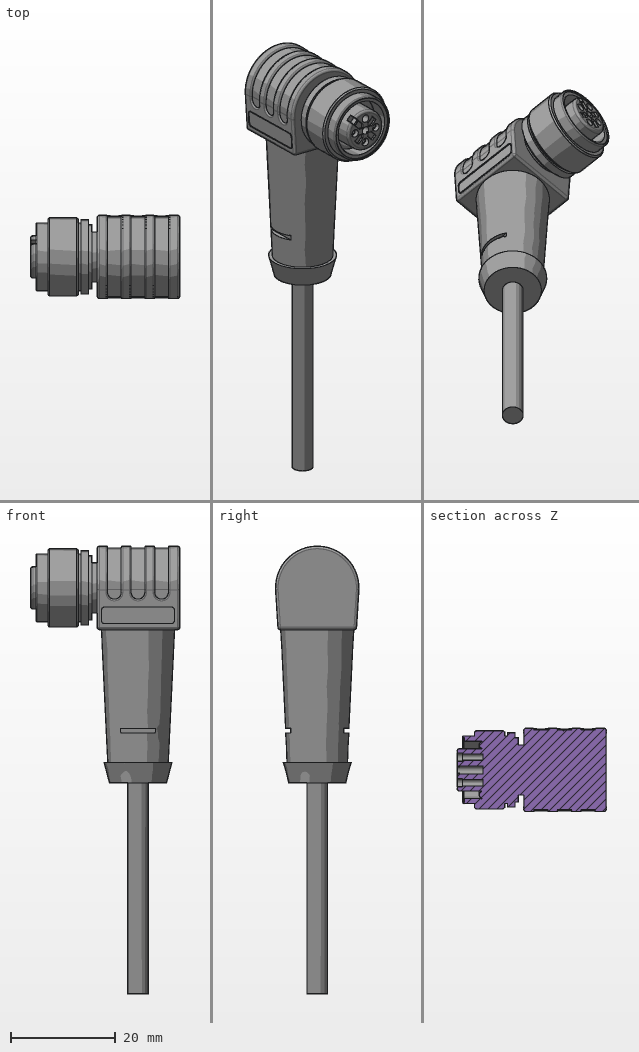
import cadquery as cq
import math


total_length = 28.5
total_height = 85.47
housing_radius = 7.985

sleeve_start = 1.05
nut_start = 3.3
nut_end = 9.1
ring_start = 9.6
ring_end = 11.1
collar_end = 11.7
housing_start = 12.7
sleeve_diameter = 13.0
nut_diameter = 15.0
nut_groove_diameter = 13.0
ring_diameter = 14.25
collar_diameter = 12.3
neck_diameter = 9.6
sleeve_fillet = 0.25
nut_chamfer = 0.3

bore_diameter = 10.92
bore_mouth_diameter = 12.3
bore_mouth_depth = 0.3
bore_floor = 4.9
insert_diameter = 8.14
insert_fillet = 0.5

contact_circle_radius = 2.45
contact_diameter = 1.15
contact_mouth_diameter = 1.5
contact_depth = 5.0
contact_mouth_depth = 1.0
pocket_width = 1.15
pocket_reach = 2.9
pocket_depth = 0.45
cross_width = 1.2
key_radius = 3.6
key_width = 1.2
key_depth = 1.5
diagonal_angle = 45

housing_length = total_length - housing_start
cable_axis = 20.5
housing_bottom = -8.0
split_height = -0.36
bottom_half_width = 7.5
housing_fillet = 0.5
groove_count = 3
groove_pitch = 4.5
groove_width = 2.6
groove_depth = 0.34
groove_bottom = -2.15
groove_rim_fillet = 0.3
panel_length = 14.0
panel_height = 3.2
panel_centre_height = -5.25
panel_corner = 0.7
panel_depth = 0.2

grip_top_diameter = 14.0
grip_end_diameter = 11.6
grip_length = 25.3
flange_diameter = 13.0
flange_end_diameter = 10.92
flange_length = 3.9
notch_top = 18.8
notch_height = 0.9
notch_floor = 5.1
cable_diameter = 4.0
grip_bottom = housing_bottom - grip_length
flange_bottom = grip_bottom - flange_length
cable_bottom = housing_radius - total_height


def disc(start, end, diameter):
    """Cylinder on the plug axis between two stations along X."""
    return cq.Workplane("YZ", origin=(start, 0, 0)).circle(diameter / 2).extrude(end - start)


def make_plug():
    """Sleeve, coupling nut, ring, collar and neck, with the socket bored into the sleeve."""
    sleeve = disc(sleeve_start, nut_start, sleeve_diameter).faces("<X").fillet(sleeve_fillet)
    nut = disc(nut_start, nut_end, nut_diameter).faces("<X or >X").chamfer(nut_chamfer)
    plug = (
        sleeve.union(nut)
        .union(disc(nut_end, ring_start, nut_groove_diameter))
        .union(disc(ring_start, ring_end, ring_diameter))
        .union(disc(ring_end, collar_end, collar_diameter))
        .union(disc(collar_end, housing_start + housing_fillet, neck_diameter))
    )
    mouth = disc(sleeve_start, sleeve_start + bore_mouth_depth, bore_mouth_diameter)
    return plug.cut(disc(sleeve_start, bore_floor, bore_diameter)).cut(mouth)


def make_seal():
    """Sealing ring that fills the gap round the insert, half sunk into the bore floor."""
    inner = insert_diameter / 2
    seal_radius = (bore_diameter / 2 - inner) / 2
    centre = cq.Vector(bore_floor, 0, 0)
    plug_axis = cq.Vector(1, 0, 0)
    return cq.Workplane(cq.Solid.makeTorus(inner + seal_radius, seal_radius, centre, plug_axis))


def contact_hole(y, z, bottom_diameter):
    """Hole with a wide mouth over a bottom of the given diameter."""
    centre = cq.Workplane("YZ").center(y, z)
    mouth = centre.circle(contact_mouth_diameter / 2).extrude(contact_mouth_depth)
    return mouth.union(centre.circle(bottom_diameter / 2).extrude(contact_depth))


def make_insert():
    """Contact carrier: holes, four diagonal pockets parted by a flush cross, and a key slot in the rim."""
    insert = disc(0, bore_floor, insert_diameter).faces("<X").fillet(insert_fillet)
    face = cq.Workplane("YZ")
    bar_length = 2 * pocket_reach
    cross = face.rect(bar_length, cross_width).extrude(pocket_depth)
    cross = cross.union(face.rect(cross_width, bar_length).extrude(pocket_depth))
    for quarter in range(4):
        pocket = face.center(pocket_reach / 2, 0).rect(pocket_reach, pocket_width).extrude(pocket_depth)
        pocket = pocket.rotate((0, 0, 0), (1, 0, 0), diagonal_angle + 90 * quarter)
        insert = insert.cut(pocket.cut(cross))
    for y, z in ((0, 0), (0, contact_circle_radius)):
        insert = insert.cut(contact_hole(y, z, contact_mouth_diameter))
    for y, z in ((-contact_circle_radius, 0), (contact_circle_radius, 0), (0, -contact_circle_radius)):
        insert = insert.cut(contact_hole(y, z, contact_diameter))
    key = face.center(key_radius, 0).rect(key_width, key_width).extrude(key_depth)
    return insert.cut(key.rotate((0, 0, 0), (1, 0, 0), diagonal_angle))


def housing_outline():
    """Arch: a round top that meets sides leaning inwards towards the flat bottom."""
    split_half_width = math.sqrt(housing_radius**2 - split_height**2)
    return (
        cq.Workplane("YZ", origin=(housing_start, 0, 0))
        .moveTo(-bottom_half_width, housing_bottom)
        .lineTo(-split_half_width, split_height)
        .threePointArc((0, housing_radius), (split_half_width, split_height))
        .lineTo(bottom_half_width, housing_bottom)
        .close()
    )


def groove_centre(index):
    """Station along X of one groove; the middle one lies over the cable."""
    return cable_axis + (index - (groove_count - 1) / 2) * groove_pitch


def groove_cutter():
    """Upright strips with round lower ends, hollowed so that they only bite groove_depth deep."""
    span = 4 * housing_radius
    end_height = groove_bottom + groove_width / 2
    strips = cq.Workplane("XZ")
    for index in range(groove_count):
        x = groove_centre(index)
        strips = (
            strips.moveTo(x - groove_width / 2, end_height)
            .threePointArc((x, groove_bottom), (x + groove_width / 2, end_height))
            .lineTo(x + groove_width / 2, span)
            .lineTo(x - groove_width / 2, span)
            .close()
        )
    strips = strips.extrude(span / 2, both=True)
    core = housing_outline().offset2D(-groove_depth).extrude(housing_length)
    return strips.cut(core)


def groove_rims(housing):
    """Edges where the groove walls meet the outer surface of the housing."""
    skin = groove_depth / 4
    core = housing_outline().offset2D(-skin).extrude(housing_length).val()
    rims = []
    for edge in housing.edges().vals():
        middle = edge.positionAt(0.5)
        in_groove = any(
            abs(middle.x - groove_centre(index)) < groove_width / 2 + skin for index in range(groove_count)
        )
        if in_groove and groove_bottom - skin < middle.z and not core.isInside(middle):
            rims.append(edge)
    return housing.newObject(rims)


def panel_cutter(side):
    """Shallow label recess that follows the leaning side wall."""
    lean = math.atan2(housing_radius - bottom_half_width, split_height - housing_bottom)
    share = (panel_centre_height - housing_bottom) / (split_height - housing_bottom)
    wall = bottom_half_width + share * (housing_radius - bottom_half_width)
    panel = (
        cq.Workplane("XY")
        .box(panel_length, 2 * panel_depth, panel_height)
        .edges("|Y")
        .fillet(panel_corner)
        .rotate((0, 0, 0), (1, 0, 0), -side * math.degrees(lean))
    )
    return panel.translate((cable_axis, side * wall, panel_centre_height))


def make_housing():
    """Arched block with rounded edges, grooves over the top and a label recess on each side."""
    housing = housing_outline().extrude(housing_length)
    housing = housing.faces("<X or >X or <Z").edges().fillet(housing_fillet)
    housing = housing.cut(groove_cutter())
    housing = groove_rims(housing).fillet(groove_rim_fillet)
    for side in (-1, 1):
        housing = housing.cut(panel_cutter(side))
    return housing


def make_grip():
    """Tapered grip with an end flange and the cable, all round about one vertical axis."""
    profile = (
        cq.Workplane("XZ", origin=(cable_axis, 0, 0))
        .moveTo(0, housing_bottom + housing_fillet)
        .lineTo(grip_top_diameter / 2, housing_bottom + housing_fillet)
        .lineTo(grip_top_diameter / 2, housing_bottom)
        .lineTo(grip_end_diameter / 2, grip_bottom)
        .lineTo(flange_diameter / 2, grip_bottom)
        .lineTo(flange_end_diameter / 2, flange_bottom)
        .lineTo(cable_diameter / 2, flange_bottom)
        .lineTo(cable_diameter / 2, cable_bottom)
        .lineTo(0, cable_bottom)
        .close()
    )
    grip = profile.revolve(360, (0, 0), (0, 1))
    notch_centre_height = housing_bottom - notch_top - notch_height / 2
    for side in (-1, 1):
        notch = cq.Workplane("XY").box(grip_top_diameter, grip_top_diameter, notch_height)
        notch_y = side * (notch_floor + grip_top_diameter / 2)
        grip = grip.cut(notch.translate((cable_axis, notch_y, notch_centre_height)))
    return grip


result = make_housing().union(make_grip()).union(make_plug()).union(make_insert()).union(make_seal())